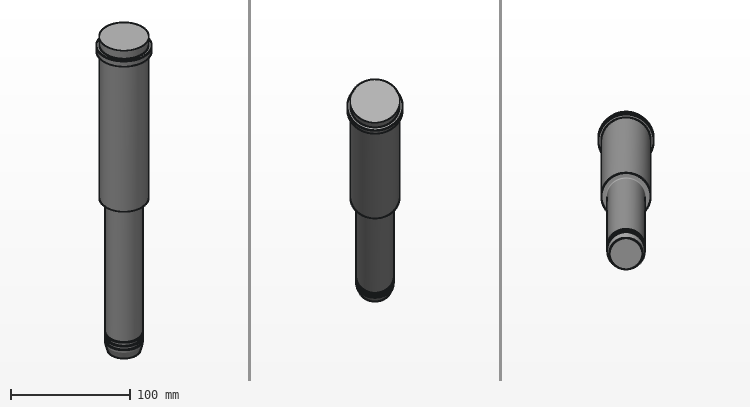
import cadquery as cq

length = 320.0
head_diameter = 42.0
collar_diameter = 47.0
shank_diameter = 32.0
tip_diameter = 28.0

head_length = 165.0
collar_top_offset = 9.0
collar_thickness = 6.0
collar_gap = 0.5
tip_length = 7.7

edge_chamfer = 0.48
corner_fillet = 1.0

match_tolerance = 0.03

groove_count = 3
groove_pitch = 4.0
groove_width = 1.0
groove_depth = 0.3
first_groove_height = 10.5


def disc(diameter, bottom, height):
    """Solid cylinder on the Z axis."""
    return cq.Workplane("XY").workplane(offset=bottom).circle(diameter / 2).extrude(height)


def tapered_tip():
    """Cone frustum that leads into the shank."""
    return (
        cq.Workplane("XY")
        .circle(tip_diameter / 2)
        .workplane(offset=tip_length)
        .circle(shank_diameter / 2)
        .loft(ruled=True)
    )


def ring_groove(diameter, bottom, width):
    """Shallow ring of material to remove from a surface of the given diameter."""
    core_diameter = diameter - 2 * groove_depth
    return disc(diameter, bottom, width).cut(disc(core_diameter, bottom, width))


class CircleAt(cq.Selector):
    """Selects the circular edge of a given diameter and height."""

    def __init__(self, diameter, height):
        self.radius = diameter / 2
        self.height = height

    def matches(self, edge):
        if edge.geomType() != "CIRCLE":
            return False
        radius_error = abs(edge.radius() - self.radius)
        height_error = abs(edge.Center().z - self.height)
        return max(radius_error, height_error) < match_tolerance

    def filter(self, edges):
        return [edge for edge in edges if self.matches(edge)]


head_bottom = length - head_length
collar_bottom = length - collar_top_offset - collar_thickness

shank = disc(shank_diameter, tip_length, head_bottom - tip_length)
head = disc(head_diameter, head_bottom, head_length)
collar = disc(collar_diameter, collar_bottom, collar_thickness)
result = tapered_tip().union(shank).union(head).union(collar)

result = result.edges(CircleAt(shank_diameter, head_bottom)).fillet(corner_fillet)

outer_edges = (
    (head_diameter, head_bottom),
    (tip_diameter, 0),
    (collar_diameter, collar_bottom),
    (collar_diameter, collar_bottom + collar_thickness),
)
for diameter, height in outer_edges:
    result = result.edges(CircleAt(diameter, height)).chamfer(edge_chamfer)

for index in range(groove_count):
    groove_bottom = first_groove_height + index * groove_pitch - groove_width / 2
    result = result.cut(ring_groove(shank_diameter, groove_bottom, groove_width))

for groove_bottom in (collar_bottom - collar_gap, collar_bottom + collar_thickness):
    result = result.cut(ring_groove(head_diameter, groove_bottom, collar_gap))